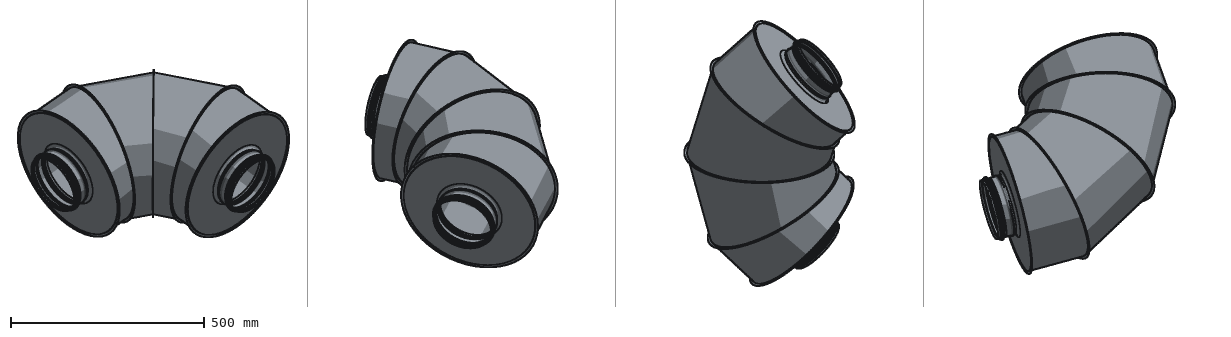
import cadquery as cq
import math

bend_radius = 277.0
end_offset = 32.0
mitre_angles = (15, 45, 75)
sheet = 0.85

jacket_diameter = 361.5
rim_diameter = 375.0
rim_thickness = 1.5

duct_diameter = 159.0
collar_length = 57.0
flare_width = 9.7
flare_length = 7.0

bead_diameter = 164.0
bead_start = 12.0
bead_end = 20.0

groove_diameter = 154.0
groove_start = 34.0
groove_floor_start = 37.5
groove_floor_end = 49.0
groove_end = 51.0

lip_diameter = 169.0
rear_lip_start = 42.0
rear_lip_end = 45.5
front_lip_diameter = 164.0

jacket_bore = jacket_diameter - 2 * sheet
duct_bore = duct_diameter - 2 * sheet
duct_radius = duct_diameter / 2
bore_radius = duct_bore / 2
sheet_middle_radius = (duct_radius + bore_radius) / 2
groove_radius = groove_diameter / 2
groove_bore_radius = groove_radius - sheet
bead_quarter = (bead_end - bead_start) / 4
bead_half_height = (bead_diameter - duct_diameter) / 4
bead_arc_radius = (bead_quarter**2 + bead_half_height**2) / (2 * bead_half_height)
flare_arc_radius = (flare_width**2 + flare_length**2) / (2 * flare_length)
end_planes = (
    cq.Plane((-bend_radius, -end_offset, 0), xDir=(1, 0, 0), normal=(0, -1, 0)),
    cq.Plane((end_offset, bend_radius, 0), xDir=(0, 1, 0), normal=(1, 0, 0)),
)


def mitred_rod(diameter, extension=0):
    """Solid round rod along the segmented bend, reaching past both end faces by the extension."""
    corner_radius = bend_radius / math.cos(math.radians(mitre_angles[0]))
    corners = [
        (-corner_radius * math.cos(math.radians(angle)), corner_radius * math.sin(math.radians(angle)))
        for angle in mitre_angles
    ]
    reach = end_offset + extension
    path = cq.Workplane("XY").polyline([(-bend_radius, -reach), *corners, (reach, bend_radius)])
    start = cq.Workplane("XZ", origin=(-bend_radius, -reach, 0))
    return start.circle(diameter / 2).sweep(path, transition="right")


def mitre_slabs():
    """Thin slabs along the mitre planes, one per seam."""
    slab_length = bend_radius + rim_diameter
    slab = cq.Workplane("XY").box(
        slab_length, rim_thickness, 2 * rim_diameter, centered=(False, True, True)
    )
    return [slab.rotate((0, 0, 0), (0, 0, 1), 180 - angle) for angle in mitre_angles]


def make_jacket():
    """Outer sheet shell with a raised rim at every mitre and a flange at each end."""
    jacket = mitred_rod(jacket_diameter)
    rim_rod = mitred_rod(rim_diameter)
    for slab in mitre_slabs():
        jacket = jacket.union(rim_rod.intersect(slab))
    for plane in end_planes:
        jacket = jacket.union(cq.Workplane(plane).circle(rim_diameter / 2).extrude(-rim_thickness))
    return jacket.cut(mitred_rod(jacket_bore))


def make_insulation():
    """Filling between jacket and duct, flush with the end flanges."""
    return mitred_rod(jacket_bore).cut(mitred_rod(duct_diameter))


def ring_profile(end_plane):
    """Sketch plane through the collar axis: local x is the radius, local y runs out of the end face."""
    radial = cq.Vector(0, 0, 1)
    return cq.Workplane(cq.Plane(end_plane.origin, xDir=radial, normal=radial.cross(end_plane.zDir)))


def revolve_ring(profile):
    """Turn a closed profile once around the collar axis."""
    return profile.revolve(360, (0, 0, 0), (0, 1, 0))


def make_flare(end_plane):
    """Concave ring around the duct that meets the end face tangentially."""
    return revolve_ring(
        ring_profile(end_plane)
        .moveTo(sheet_middle_radius, 0)
        .lineTo(duct_radius + flare_width, 0)
        .radiusArc((duct_radius, flare_length), flare_arc_radius)
        .lineTo(sheet_middle_radius, flare_length)
        .close()
    )


def make_collar(end_plane):
    """Collar beyond the plain tube: stop bead, seal groove with lip seal, and mouth."""
    bead_rise = bead_start + bead_quarter
    bead_fall = bead_end - bead_quarter
    return revolve_ring(
        ring_profile(end_plane)
        .moveTo(duct_radius, bead_start)
        .radiusArc((duct_radius + bead_half_height, bead_rise), bead_arc_radius)
        .radiusArc((duct_radius + bead_half_height, bead_fall), -bead_arc_radius)
        .radiusArc((duct_radius, bead_end), bead_arc_radius)
        .lineTo(duct_radius, groove_start)
        .lineTo(groove_radius, groove_floor_start)
        .lineTo(groove_radius, rear_lip_start)
        .lineTo(lip_diameter / 2, rear_lip_start)
        .lineTo(lip_diameter / 2, rear_lip_end)
        .lineTo(front_lip_diameter / 2, rear_lip_end)
        .lineTo(front_lip_diameter / 2, groove_floor_end)
        .lineTo(duct_radius, groove_end)
        .lineTo(duct_radius, collar_length)
        .lineTo(bore_radius, collar_length)
        .lineTo(bore_radius, groove_end)
        .lineTo(groove_bore_radius, groove_floor_end)
        .lineTo(groove_bore_radius, groove_floor_start)
        .lineTo(bore_radius, groove_start)
        .lineTo(bore_radius, bead_end)
        .radiusArc((bore_radius + bead_half_height, bead_fall), -bead_arc_radius)
        .radiusArc((bore_radius + bead_half_height, bead_rise), bead_arc_radius)
        .radiusArc((bore_radius, bead_start), -bead_arc_radius)
        .close()
    )


def make_duct():
    """Inner sheet duct with a flare and a connection collar at each end."""
    duct = mitred_rod(duct_diameter, bead_start)
    for plane in end_planes:
        duct = duct.union(make_flare(plane))
    duct = duct.cut(mitred_rod(duct_bore, bead_start))
    for plane in end_planes:
        duct = duct.union(make_collar(plane))
    return duct


jacket = make_jacket()
insulation = make_insulation()
duct = make_duct()

result = cq.Compound.makeCompound([body.solids().val() for body in (jacket, insulation, duct)])